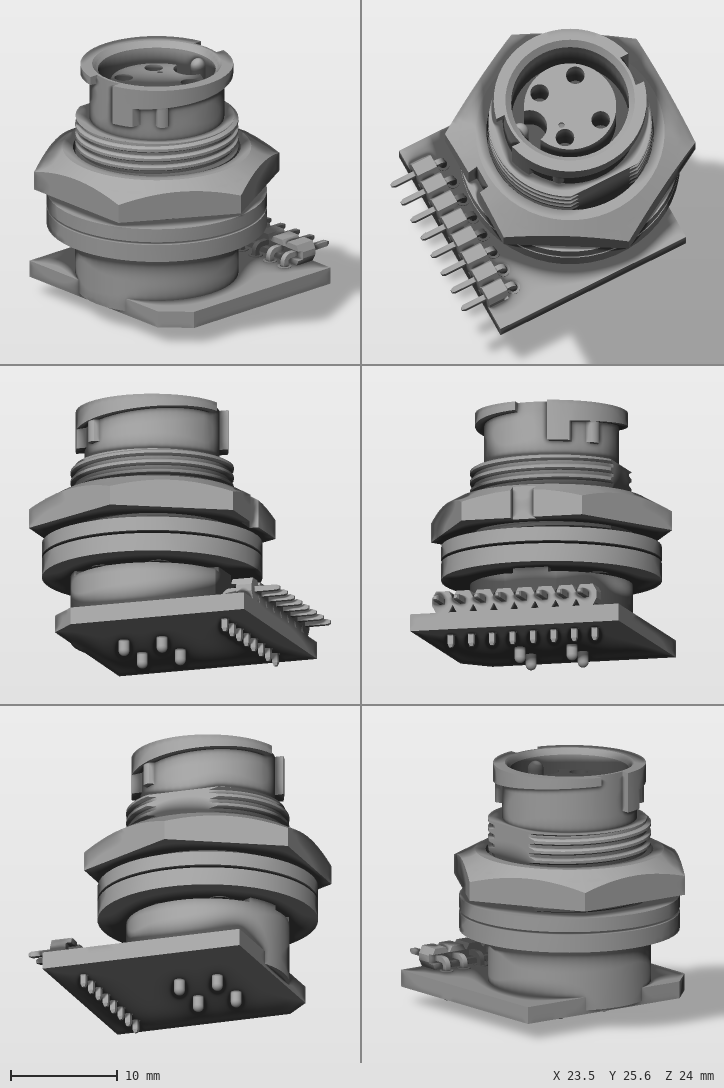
import cadquery as cq
import math


overall_length = 25.55

board_half_width = 10.12
board_front_y = -6.9
board_back_y = 12.75
board_thickness = 1.6
board_corner_cut = 2.43

housing_radius = 7.65
housing_bottom_z = 0.35
housing_top_z = 6.08
housing_back_flat_y = 7.2

neck_radius = 4.73
tab_inner_radius = 6.35
tab_wall_angle = 30.0
front_tab_outer_half_width = 5.65
key_slot_outer_half_width = 1.97
back_tab_half_width = 1.69
pad_radius = 1.0
pad_thickness = 0.08
pad_x = 5.21
pad_ys = (2.53, -3.1)

disc_radius = 10.33
flange_bottom_z = 6.55
flange_top_z = 8.23
washer_bottom_z = 8.5
washer_thickness = 1.3

thread_root_radius = 7.25
thread_crest_radius = housing_radius
thread_root_embed = 0.08
thread_pitch = 0.92
thread_crest_width = 0.25
thread_base_width = 0.72
thread_crest_z = 16.75
thread_top_z = 17.18
barrel_flat_x = -6.77
bore_clearance = 0.2

shell_radius = 6.31
socket_top_z = 22.47
bore_radius = 5.52
wall_middle_radius = (shell_radius + bore_radius) / 2
bore_floor_z = thread_top_z
bore_chamfer = 0.54

ring_radius = 7.15
ring_notch_half_width = 1.55
ring_stop_x = 3.5
ring_stop_bottom_z = 18.68
ramp_middle_z = 21.05
ramp_slope = 0.085
rib_angle = -37.5
rib_root_half_width = 0.77
rib_tip_half_width = 0.49
rib_shoulder_radius = 6.8
rib_tip_radius = 6.98
rib_top_z = 21.21

insert_radius = 4.32
insert_top_z = 20.83
contact_hole_radius = 0.87
contact_x = 2.53
contact_y = 1.9
keyway_radius = 1.64
keyway_y = 4.3
marker_x = -1.28
marker_y = 1.58
marker_radius = 0.28
marker_depth = 0.25

key_post_radius = 0.77
key_post_y = 5.3
key_post_dome_z = 20.85

solder_post_radius = 0.5
solder_post_bottom_z = -1.48

pin_count = 8
pin_row_length = 14.0
pin_pitch = pin_row_length / (pin_count - 1)
pin_width = 0.5
pin_tail_y = 9.76
pin_end_y = overall_length - disc_radius
pin_bottom_z = -1.18
pin_bend_radius = 0.6
pin_tip_length = 0.3
pin_tip_inset = 0.115
header_height = 2.02
header_center_z = board_thickness + header_height / 2
header_top_width = 1.25
header_side_height = 0.65
header_lip_y = 10.7
header_core_y = 11.22
header_gap_height = 0.92
solder_ring_radius = 0.66
solder_ring_thickness = 0.08
pin_hole_radius = 0.4

nut_corner_radius = 11.73
nut_bottom_z = 10.79
nut_top_z = 14.15
nut_chamfer_radius = 8.85
nut_chamfer_drop = 1.58
nut_slot_half_width = 1.12
nut_slot_floor_y = 9.28


def cylinder(radius, bottom, top, x=0, y=0):
    """Upright cylinder between two heights."""
    return cq.Workplane("XY", origin=(x, y, bottom)).circle(radius).extrude(top - bottom)


def block(x_min, x_max, y_min, y_max, z_min, z_max):
    """Box given by its limits along each axis."""
    size = (x_max - x_min, y_max - y_min, z_max - z_min)
    return cq.Workplane("XY").box(*size, centered=False).translate((x_min, y_min, z_min))


def make_board():
    """Board with one corner cut off."""
    board = block(-board_half_width, board_half_width, board_front_y, board_back_y, 0, board_thickness)
    return board.edges("|Z and >X and <Y").chamfer(board_corner_cut)


def make_front_wedge(outer_half_width):
    """Prism between housing and flange that narrows from the front toward the neck."""
    narrowing = (housing_radius - neck_radius) * math.tan(math.radians(tab_wall_angle))
    inner_half_width = outer_half_width - narrowing
    return (
        cq.Workplane("XY", origin=(0, 0, housing_top_z))
        .polyline([
            (-outer_half_width, -housing_radius),
            (outer_half_width, -housing_radius),
            (inner_half_width, -neck_radius),
            (-inner_half_width, -neck_radius),
        ])
        .close()
        .extrude(flange_bottom_z - housing_top_z)
    )


def make_neck_tabs():
    """Pieces of the outer wall that reach up to the flange: a front pair and one at the back."""
    wall = cylinder(housing_radius, housing_top_z, flange_bottom_z)
    wall = wall.cut(cylinder(tab_inner_radius, housing_top_z, flange_bottom_z))
    front = make_front_wedge(front_tab_outer_half_width).cut(make_front_wedge(key_slot_outer_half_width))
    back = block(-back_tab_half_width, back_tab_half_width, 0, housing_back_flat_y,
                 housing_top_z, flange_bottom_z)
    return wall.intersect(front.union(back))


def make_lower_housing():
    """D-shaped housing, the neck, its tabs and pads, and the flange."""
    housing = cylinder(housing_radius, housing_bottom_z, housing_top_z)
    housing = housing.intersect(
        block(-housing_radius, housing_radius, -housing_radius, housing_back_flat_y,
              housing_bottom_z, housing_top_z)
    )
    housing = housing.union(cylinder(neck_radius, housing_top_z, flange_bottom_z))
    housing = housing.union(make_neck_tabs())
    housing = housing.union(cylinder(disc_radius, flange_bottom_z, flange_top_z))
    for x in (-pad_x, pad_x):
        for y in pad_ys:
            pad = cylinder(pad_radius, flange_bottom_z - pad_thickness, flange_bottom_z, x, y)
            housing = housing.union(pad)
    return housing


def make_barrel():
    """Right-hand threaded barrel with a flat on the -X side."""
    start_turns = math.ceil((thread_crest_z - flange_top_z) / thread_pitch)
    start_z = thread_crest_z - start_turns * thread_pitch
    helix_height = thread_top_z + thread_pitch - start_z
    root_radius = thread_root_radius - thread_root_embed
    helix = cq.Wire.makeHelix(thread_pitch, helix_height, thread_root_radius)
    ridge = (
        cq.Workplane("XZ")
        .polyline([
            (root_radius, -thread_base_width / 2),
            (thread_crest_radius, -thread_crest_width / 2),
            (thread_crest_radius, thread_crest_width / 2),
            (root_radius, thread_base_width / 2),
        ])
        .close()
        .sweep(cq.Workplane(helix), isFrenet=True)
        .translate((0, 0, start_z))
    )
    envelope = block(barrel_flat_x, disc_radius, -disc_radius, disc_radius, flange_top_z, thread_top_z)
    core = cylinder(thread_root_radius, start_z - thread_pitch, thread_top_z + 2 * thread_pitch)
    return core.union(ridge).intersect(envelope)


def make_ring_half():
    """Half of the bayonet ring on the +X side: ramp, end stop and detent rib."""
    sleeve = cylinder(ring_radius, ring_stop_bottom_z, socket_top_z)
    sleeve = sleeve.cut(cylinder(shell_radius, ring_stop_bottom_z, socket_top_z))
    ramp_rise = ramp_slope * ring_radius
    ramp = (
        cq.Workplane("YZ", origin=(ring_notch_half_width, 0, 0))
        .polyline([
            (-ring_radius, ramp_middle_z - ramp_rise),
            (ring_radius, ramp_middle_z + ramp_rise),
            (ring_radius, socket_top_z),
            (-ring_radius, socket_top_z),
        ])
        .close()
        .extrude(ring_radius - ring_notch_half_width)
    )
    stop = block(ring_notch_half_width, ring_stop_x, -ring_radius, 0, ring_stop_bottom_z, socket_top_z)
    rib = (
        cq.Workplane("XY", origin=(0, 0, ring_stop_bottom_z))
        .polyline([
            (wall_middle_radius, -rib_root_half_width),
            (rib_shoulder_radius, -rib_tip_half_width),
        ])
        .threePointArc((rib_tip_radius, 0), (rib_shoulder_radius, rib_tip_half_width))
        .lineTo(wall_middle_radius, rib_root_half_width)
        .close()
        .extrude(rib_top_z - ring_stop_bottom_z)
        .rotate((0, 0, 0), (0, 0, 1), rib_angle)
        .cut(cylinder(shell_radius, ring_stop_bottom_z, socket_top_z))
    )
    return sleeve.intersect(ramp.union(stop)).union(rib)


def make_insert():
    """Contact insert with four contact holes, a keyway and a marker dimple."""
    insert = cylinder(insert_radius, bore_floor_z, insert_top_z)
    insert = insert.cut(cylinder(keyway_radius, bore_floor_z, insert_top_z, 0, keyway_y))
    for x in (-contact_x, contact_x):
        for y in (-contact_y, contact_y):
            insert = insert.cut(cylinder(contact_hole_radius, bore_floor_z, insert_top_z, x, y))
    return insert.cut(
        cylinder(marker_radius, insert_top_z - marker_depth, insert_top_z, marker_x, marker_y)
    )


def make_socket():
    """Socket shell with its bayonet ring, chamfered bore, key post and insert."""
    socket = cylinder(shell_radius, thread_top_z, socket_top_z)
    ring_half = make_ring_half()
    for angle in (0, 180):
        socket = socket.union(ring_half.rotate((0, 0, 0), (0, 0, 1), angle))
    bore = cylinder(bore_radius, bore_floor_z, socket_top_z)
    bore_mouth = (
        cq.Workplane("XY", origin=(0, 0, socket_top_z))
        .circle(bore_radius + bore_chamfer)
        .extrude(-bore_chamfer, taper=45)
    )
    key_post = cylinder(key_post_radius, bore_floor_z, key_post_dome_z, 0, key_post_y)
    key_post = key_post.union(
        cq.Workplane("XY").sphere(key_post_radius).translate((0, key_post_y, key_post_dome_z))
    )
    key_post = key_post.intersect(cylinder(wall_middle_radius, bore_floor_z, socket_top_z))
    return socket.cut(bore).cut(bore_mouth).union(key_post).union(make_insert())


def make_solder_post(x, y):
    """Round post under the board with a hemispherical end."""
    dome_z = solder_post_bottom_z + solder_post_radius
    post = cylinder(solder_post_radius, dome_z, 0, x, y)
    return post.union(cq.Workplane("XY").sphere(solder_post_radius).translate((x, y, dome_z)))


def make_pin(x):
    """Square right-angle pin with tapered tips, pointing to +Y and -Z."""
    tip_taper = math.degrees(math.atan(pin_tip_inset / pin_tip_length))
    shaft_end_y = pin_end_y - pin_tip_length
    shaft_bottom_z = pin_bottom_z + pin_tip_length
    bend_start_z = header_center_z - pin_bend_radius
    bend_end_y = pin_tail_y + pin_bend_radius
    tail = cq.Workplane("XY", origin=(x, pin_tail_y, shaft_bottom_z)).rect(pin_width, pin_width)
    tail = tail.extrude(bend_start_z - shaft_bottom_z)
    bend = (
        cq.Workplane("XY", origin=(x, pin_tail_y, bend_start_z))
        .rect(pin_width, pin_width)
        .revolve(90, (0.25, pin_bend_radius), (-0.25, pin_bend_radius))
    )
    shaft = block(x - pin_width / 2, x + pin_width / 2, bend_end_y, shaft_end_y,
                  header_center_z - pin_width / 2, header_center_z + pin_width / 2)
    lower_tip = cq.Workplane("XY", origin=(x, pin_tail_y, shaft_bottom_z)).rect(pin_width, pin_width)
    lower_tip = lower_tip.extrude(-pin_tip_length, taper=tip_taper)
    outer_tip = cq.Workplane("XZ", origin=(x, shaft_end_y, header_center_z)).rect(pin_width, pin_width)
    outer_tip = outer_tip.extrude(-pin_tip_length, taper=tip_taper)
    return tail.union(bend).union(shaft).union(lower_tip).union(outer_tip)


def make_header_cell(x):
    """Octagonal header cell with a gap across the side where the pin bends."""
    half_top = header_top_width / 2
    half_side = header_side_height / 2
    half_height = header_height / 2
    half_width = pin_pitch / 2
    cell = (
        cq.Workplane("XZ", origin=(x, header_lip_y, header_center_z))
        .polyline([
            (-half_top, -half_height), (half_top, -half_height),
            (half_width, -half_side), (half_width, half_side),
            (half_top, half_height), (-half_top, half_height),
            (-half_width, half_side), (-half_width, -half_side),
        ])
        .close()
        .extrude(header_lip_y - board_back_y)
    )
    gap = block(x - half_width, x + half_width, header_lip_y, header_core_y,
                header_center_z - header_gap_height / 2, header_center_z + header_gap_height / 2)
    return cell.cut(gap)


def add_pin_header(connector):
    """Row of header cells, each with its pin, board hole and solder ring."""
    for index in range(pin_count):
        x = -pin_row_length / 2 + index * pin_pitch
        ring_top_z = board_thickness + solder_ring_thickness
        connector = connector.union(
            cylinder(solder_ring_radius, board_thickness, ring_top_z, x, pin_tail_y)
        )
        connector = connector.cut(cylinder(pin_hole_radius, 0, ring_top_z, x, pin_tail_y))
        connector = connector.union(make_header_cell(x)).union(make_pin(x))
    return connector


def make_connector():
    """Housing, board, barrel, socket and all pins as one solid."""
    connector = make_board().union(make_lower_housing())
    connector = add_pin_header(connector)
    connector = connector.union(make_barrel()).union(make_socket())
    for x in (-contact_x, contact_x):
        for y in (-contact_y, contact_y):
            connector = connector.union(make_solder_post(x, y))
    return connector


def make_washer():
    """Flat washer around the threaded barrel."""
    washer_top_z = washer_bottom_z + washer_thickness
    washer = cylinder(disc_radius, washer_bottom_z, washer_top_z)
    return washer.cut(cylinder(thread_crest_radius + bore_clearance, washer_bottom_z, washer_top_z))


def make_nut():
    """Hexagonal nut with a conical top and a slot in its +Y side."""
    blank = (
        cq.Workplane("XY", origin=(0, 0, nut_bottom_z))
        .polygon(6, 2 * nut_corner_radius)
        .extrude(nut_top_z - nut_bottom_z)
    )
    cone = (
        cq.Workplane("XZ")
        .polyline([
            (0, nut_bottom_z),
            (nut_corner_radius, nut_bottom_z),
            (nut_corner_radius, nut_top_z - nut_chamfer_drop),
            (nut_chamfer_radius, nut_top_z),
            (0, nut_top_z),
        ])
        .close()
        .revolve(360, (0, 0), (0, 1))
    )
    slot = block(-nut_slot_half_width, nut_slot_half_width, nut_slot_floor_y, nut_corner_radius,
                 nut_bottom_z, nut_top_z)
    bore = cylinder(thread_crest_radius + bore_clearance, nut_bottom_z, nut_top_z)
    return blank.intersect(cone).cut(slot).cut(bore)


connector = make_connector()
washer = make_washer()
nut = make_nut()

result = cq.Compound.makeCompound([connector.val(), washer.val(), nut.val()])